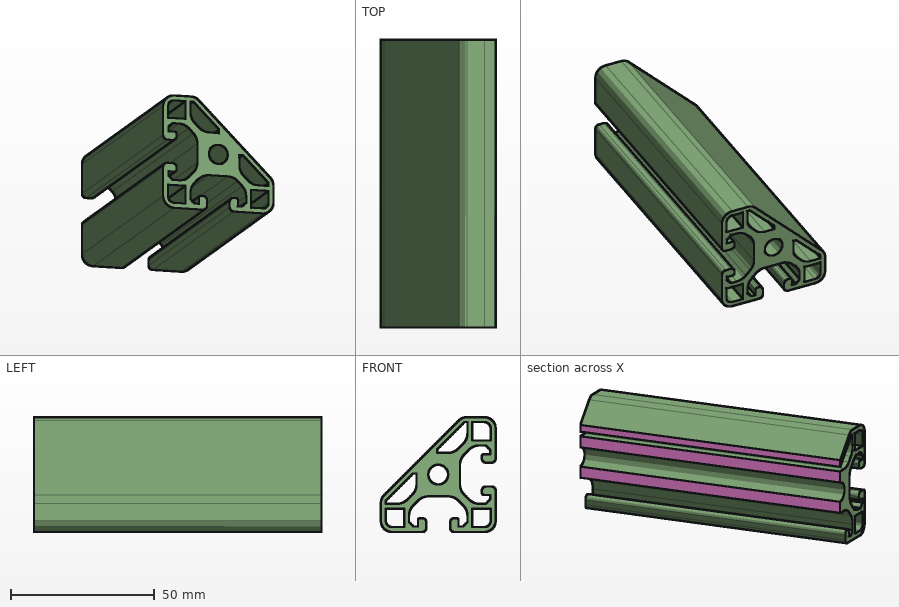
import cadquery as cq
import math


length = 100.0
side = 40.0
half = side / 2

wall = 1.8
corner_radius = 4.0
cavity_corner_radius = 2.2
slant_offset = 11.7
pocket_slant_offset = 9.1
pocket_end = 0.3

slot_floor = 7.6
slot_half_width = 10.1
slot_bevel_offset = 2.1
slot_bevel_radius = 5.0
opening_half_width = 4.1
undercut_depth = 18.0
undercut_chamfer = 1.5
lip_tip_depth = 15.1
lip_back = 7.1
lip_radius = 1.5
lip_back_radius = 0.8

bore_diameter = 6.8


def end_plane():
    """Section plane at the +Y end; a positive extrusion runs towards -Y."""
    return cq.Workplane("XZ", origin=(0, length / 2, 0))


def mirrored(corners):
    """Reflect (x, z, radius) corners across the symmetry axis, keeping the direction of travel."""
    return [(-z, -x, radius) for x, z, radius in reversed(corners)]


def corner_arc(before, corner, after):
    """Start, middle and end of the arc that rounds a corner; all coincide if its radius is zero."""
    x, z, radius = corner
    in_angle = math.atan2(before[1] - z, before[0] - x)
    out_angle = math.atan2(after[1] - z, after[0] - x)
    half_angle = math.acos(math.cos(out_angle - in_angle)) / 2
    bisector = math.atan2(
        math.sin(in_angle) + math.sin(out_angle),
        math.cos(in_angle) + math.cos(out_angle),
    )
    tangent_reach = radius / math.tan(half_angle)
    middle_reach = radius / math.sin(half_angle) - radius
    return [
        (x + reach * math.cos(angle), z + reach * math.sin(angle))
        for reach, angle in (
            (tangent_reach, in_angle),
            (middle_reach, bisector),
            (tangent_reach, out_angle),
        )
    ]


def rounded_prism(corners):
    """Extrude a closed outline of (x, z, radius) corners along the full length."""
    arcs = [
        corner_arc(corners[i - 1], corner, corners[(i + 1) % len(corners)])
        for i, corner in enumerate(corners)
    ]
    last_arc_end = arcs[-1][2]
    outline = end_plane().moveTo(*last_arc_end)
    for (start, middle, end), (_, _, radius) in zip(arcs, corners):
        outline = outline.lineTo(*start)
        if radius > 0:
            outline = outline.threePointArc(middle, end)
    return outline.close().extrude(length)


def slot_corners():
    """Corners of the slot in the +X face, from its lower lip to its upper lip."""
    lower_half = [
        (half, -opening_half_width, lip_radius),
        (lip_tip_depth, -opening_half_width, lip_radius),
        (lip_tip_depth, -lip_back, lip_back_radius),
        (undercut_depth, -lip_back, 0),
        (undercut_depth, undercut_chamfer - slot_half_width, 0),
        (undercut_depth - undercut_chamfer, -slot_half_width, 0),
        (slot_half_width + slot_bevel_offset, -slot_half_width, slot_bevel_radius),
        (slot_floor, slot_bevel_offset - slot_floor, slot_bevel_radius),
    ]
    upper_half = [(x, -z, radius) for x, z, radius in reversed(lower_half)]
    return lower_half + upper_half


def body():
    """Outer outline with both T-slots, open through the +X and -Z faces."""
    upper_corners = [
        (half, half, corner_radius),
        (half - slant_offset, half, corner_radius),
    ]
    lower_corner = [(half, -half, corner_radius)]
    right_slot = slot_corners()
    return rounded_prism(
        lower_corner + right_slot + upper_corners + mirrored(upper_corners) + mirrored(right_slot)
    )


def corner_cavity(x_sign, z_sign):
    """Square hollow in one corner, rounded towards the outside."""
    inner = slot_half_width + wall
    outer = half - wall
    return rounded_prism([
        (x_sign * inner, z_sign * inner, 0),
        (x_sign * outer, z_sign * inner, 0),
        (x_sign * outer, z_sign * outer, cavity_corner_radius),
        (x_sign * inner, z_sign * outer, 0),
    ])


def slant_pocket_corners():
    """Upper hollow between the slanted wall and the core."""
    top = half - wall
    return [
        (top - pocket_slant_offset, top, 0),
        (-pocket_end, pocket_slant_offset - pocket_end, 0),
        (-pocket_end, slot_floor, 0),
        (slot_floor - slot_bevel_offset, slot_floor, slot_bevel_radius),
        (slot_half_width, slot_half_width + slot_bevel_offset, slot_bevel_radius),
        (slot_half_width, top, 0),
    ]


def bore():
    """Screw channel along the centre."""
    return end_plane().circle(bore_diameter / 2).extrude(length)


result = body().cut(bore())

for x_sign, z_sign in ((1, 1), (1, -1), (-1, -1)):
    result = result.cut(corner_cavity(x_sign, z_sign))

for pocket in (slant_pocket_corners(), mirrored(slant_pocket_corners())):
    result = result.cut(rounded_prism(pocket))